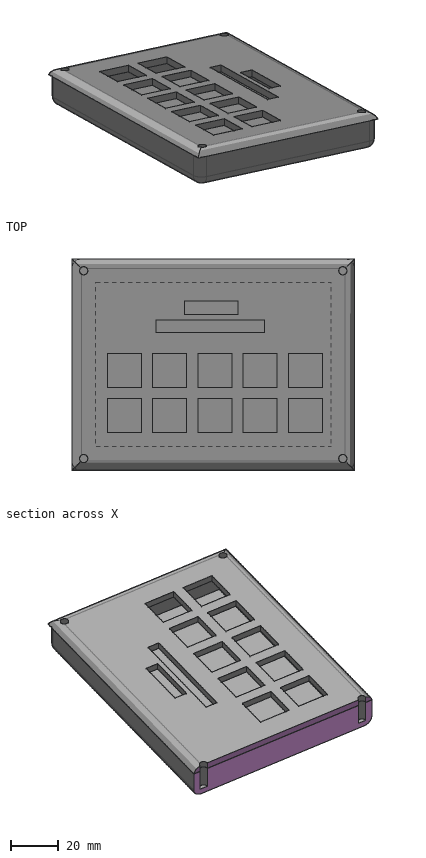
import cadquery as cq
import math

length = 119.0
width = 89.0
height = 16.0
lid_thickness = 3.0
corner_radius = 4.0
lid_round_width = corner_radius
bottom_radius = 3.9
body_height = height - lid_thickness

wall = 10.0
floor_thickness = 3.0

screw_diameter = 3.5
screw_inset = 5.0

key_columns = 5
key_rows = 2
key_pitch = 19.0
key_size = 14.3
key_center = (0.7, -11.9)

short_slot_size = (22.6, 5.7)
short_slot_center = (-0.8, 23.9)
long_slot_size = (45.6, 5.4)
long_slot_center = (-1.3, 16.2)


def drill_screw_holes(body, plane_height, depth):
    """Drill the four corner holes downward from a horizontal plane."""
    drills = (
        cq.Workplane("XY", origin=(0, 0, plane_height))
        .rect(length - 2 * screw_inset, width - 2 * screw_inset, forConstruction=True)
        .vertices()
        .circle(screw_diameter / 2)
        .extrude(-depth)
    )
    return body.cut(drills)


def make_tray():
    """Round-edged tray with a rectangular cavity and screw holes down to floor level."""
    tray = (
        cq.Workplane("XY")
        .rect(length, width)
        .extrude(body_height)
        .edges("|Z")
        .fillet(corner_radius)
        .faces("<Z")
        .edges()
        .fillet(bottom_radius)
    )
    cavity_depth = body_height - floor_thickness
    cavity = (
        cq.Workplane("XY", origin=(0, 0, floor_thickness))
        .rect(length - 2 * wall, width - 2 * wall)
        .extrude(cavity_depth)
    )
    return drill_screw_holes(tray.cut(cavity), body_height, cavity_depth)


def lid_bar(plane, span, run):
    """Bar whose upper edges are arcs, tangent to the flat top and ending at the underside corners."""
    half = span / 2
    flat_half = half - lid_round_width
    arc_radius = (lid_round_width**2 + lid_thickness**2) / (2 * lid_thickness)
    half_angle = math.asin(lid_round_width / arc_radius) / 2
    middle_x = flat_half + arc_radius * math.sin(half_angle)
    middle_z = height - arc_radius * (1 - math.cos(half_angle))
    return (
        cq.Workplane(plane)
        .moveTo(-half, body_height)
        .lineTo(half, body_height)
        .threePointArc((middle_x, middle_z), (flat_half, height))
        .lineTo(-flat_half, height)
        .threePointArc((-middle_x, middle_z), (-half, body_height))
        .close()
        .extrude(run / 2, both=True)
    )


def cut_window(lid, center, size):
    """Cut a rectangular opening through the lid."""
    window = (
        cq.Workplane("XY", origin=(0, 0, body_height))
        .center(*center)
        .rect(*size)
        .extrude(lid_thickness)
    )
    return lid.cut(window)


def make_lid():
    """Square-cornered lid with mitred round edges, key openings and two slots."""
    lid = lid_bar("XZ", length, width).intersect(lid_bar("YZ", width, length))
    for column in range(key_columns):
        for row in range(key_rows):
            key_x = key_center[0] + (column - (key_columns - 1) / 2) * key_pitch
            key_y = key_center[1] + (row - (key_rows - 1) / 2) * key_pitch
            lid = cut_window(lid, (key_x, key_y), (key_size, key_size))
    lid = cut_window(lid, short_slot_center, short_slot_size)
    lid = cut_window(lid, long_slot_center, long_slot_size)
    return drill_screw_holes(lid, height, lid_thickness)


tray = make_tray()
lid = make_lid()

result = cq.Compound.makeCompound([tray.val(), lid.val()])